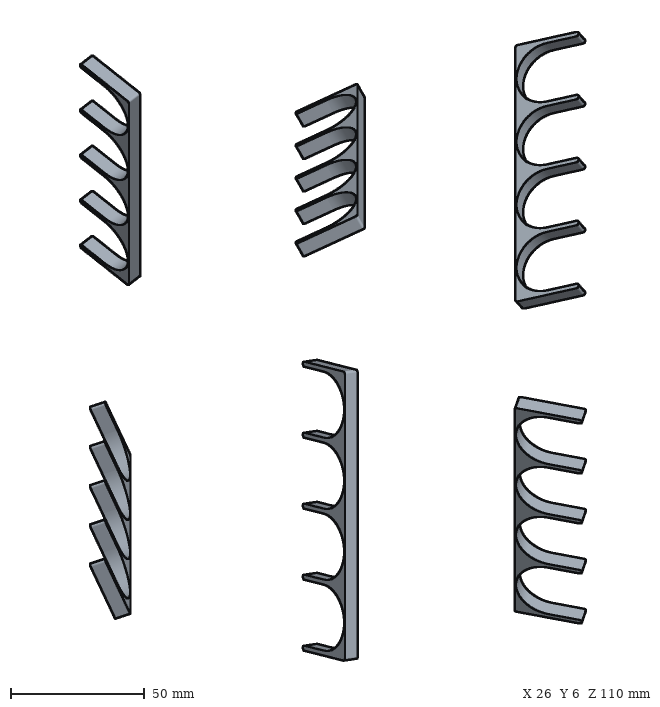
import cadquery as cq

height = 110.0
length = 26.0
depth = 6.0
bay_count = 4
finger = 2.0
spine = 0.5
corner_radius = 1.0

bay_diameter = (height - (bay_count + 1) * finger) / bay_count
bay_radius = bay_diameter / 2
tip_radius = finger / 2
pitch = bay_diameter + finger
bay_center_x = length - spine - bay_radius


def bay(center_z):
    """U-shaped bay, open toward -X with a round end toward the spine."""
    return (
        cq.Workplane("XZ")
        .moveTo(0, center_z - bay_radius)
        .lineTo(bay_center_x, center_z - bay_radius)
        .threePointArc(
            (bay_center_x + bay_radius, center_z),
            (bay_center_x, center_z + bay_radius),
        )
        .lineTo(0, center_z + bay_radius)
        .close()
        .extrude(-depth)
    )


def finger_tip(center_z):
    """Round bar along Y that closes the end of one finger."""
    return (
        cq.Workplane("XZ")
        .center(tip_radius, center_z)
        .circle(tip_radius)
        .extrude(-depth)
    )


body = cq.Workplane("XY").box(length - tip_radius, depth, height, centered=False)
body = body.translate((tip_radius, 0, 0))
body = body.edges("|Y and >X").fillet(corner_radius)

for index in range(bay_count):
    body = body.cut(bay(finger + bay_radius + index * pitch))

for index in range(bay_count + 1):
    body = body.union(finger_tip(tip_radius + index * pitch))

result = body.clean()